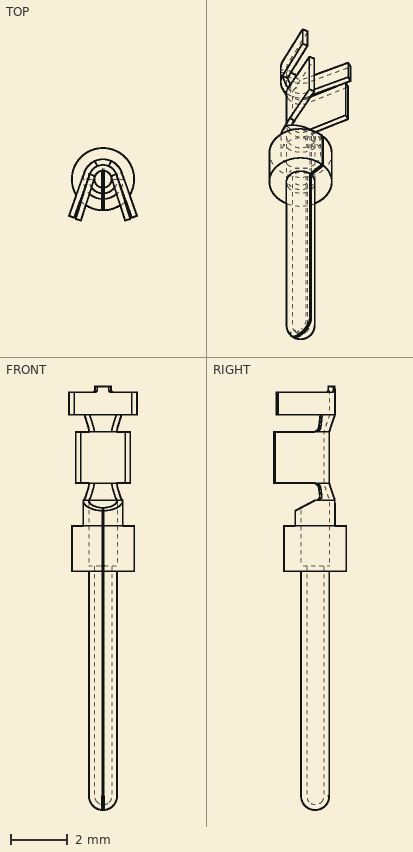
import cadquery as cq
import math


sheet = 0.2
seam_width = 0.07

pin_radius = 0.5
collar_radius = 1.1
sleeve_radius = 0.7
conductor_radius = 0.5
insulation_radius = 0.7

total_height = 14.9
tab_height = 0.2
insulation_height = 0.8
upper_neck_height = 0.6
conductor_height = 1.8
lower_neck_height = 0.6
sleeve_height = 0.9
collar_height = 1.6

insulation_top = total_height - tab_height
insulation_bottom = insulation_top - insulation_height
conductor_top = insulation_bottom - upper_neck_height
conductor_bottom = conductor_top - conductor_height
sleeve_top = conductor_bottom - lower_neck_height
collar_top = sleeve_top - sleeve_height
collar_bottom = collar_top - collar_height
sleeve_floor = collar_bottom + sheet

insulation_angle = 19.5
insulation_half_width = 1.2
conductor_angle = 17.5
conductor_reach = 1.46

neck_angle = 21
neck_fillet = 0.18
mouth_fillet = 0.15
sleeve_front_height = 0.53
mouth_front_height = collar_top + sleeve_front_height

tab_half_angle = 24
tab_fillet = 0.08

cut_size = 4 * collar_radius


def on_circle(radius, degrees):
    angle = math.radians(degrees)
    return radius * math.cos(angle), radius * math.sin(angle)


def round_tube():
    """Hollow turned shape of the pin, collar, sleeve and lower neck."""
    bore_radius = pin_radius - sheet
    sleeve_bore = sleeve_radius - sheet
    outer_x, outer_y = on_circle(pin_radius, -45)
    bore_x, bore_y = on_circle(bore_radius, -45)
    outer_mid = (outer_x, pin_radius + outer_y)
    bore_mid = (bore_x, pin_radius + bore_y)
    return (
        cq.Workplane("XZ")
        .moveTo(0, 0)
        .threePointArc(outer_mid, (pin_radius, pin_radius))
        .lineTo(pin_radius, collar_bottom)
        .lineTo(collar_radius, collar_bottom)
        .lineTo(collar_radius, collar_top)
        .lineTo(sleeve_radius, collar_top)
        .lineTo(sleeve_radius, sleeve_top)
        .lineTo(conductor_radius, conductor_bottom)
        .lineTo(conductor_radius - sheet, conductor_bottom)
        .lineTo(sleeve_bore, sleeve_top)
        .lineTo(sleeve_bore, sleeve_floor)
        .lineTo(bore_radius, sleeve_floor)
        .lineTo(bore_radius, pin_radius)
        .threePointArc(bore_mid, (0, sheet))
        .close()
        .revolve(360, (0, 0, 0), (0, 1, 0))
    )


def cone_neck():
    """Hollow turned cone between the conductor and insulation barrels."""
    return (
        cq.Workplane("XZ")
        .moveTo(conductor_radius, conductor_top)
        .lineTo(insulation_radius, insulation_bottom)
        .lineTo(insulation_radius - sheet, insulation_bottom)
        .lineTo(conductor_radius - sheet, conductor_top)
        .close()
        .revolve(360, (0, 0, 0), (0, 1, 0))
    )


def across_x(profile):
    """Extrude a YZ profile through the whole width of the part."""
    return profile.close().extrude(cut_size / 2, both=True)


def neck_opening(bottom, top):
    """Block with its upright inner face on the XZ plane, filling the -Y side of a neck."""
    return across_x(
        cq.Workplane("YZ")
        .moveTo(-cut_size, bottom)
        .lineTo(0, bottom)
        .lineTo(0, top)
        .lineTo(-cut_size, top)
    )


def rounded(opening, corner_z, radius):
    """Round the inner edge of an opening at the given height."""
    corner = cq.selectors.NearestToPointSelector((0, 0, corner_z))
    return opening.edges(corner).fillet(radius)


def cut_radially(body, opening):
    """Cut an opening turned both ways about Z, so that both neck edges end up radial."""
    for turn in (-neck_angle, neck_angle):
        body = body.cut(opening.rotate((0, 0, 0), (0, 0, 1), turn))
    return body


def open_lower_neck(tube):
    opening = neck_opening(sleeve_top, conductor_bottom)
    opening = rounded(opening, sleeve_top, mouth_fillet)
    return cut_radially(tube, rounded(opening, conductor_bottom, neck_fillet))


def open_upper_neck(neck):
    opening = neck_opening(conductor_top, insulation_bottom)
    return cut_radially(neck, rounded(opening, conductor_top, neck_fillet))


def cut_sleeve_mouth(tube):
    """Slope the front half of the sleeve end down toward -Y."""
    slope = (sleeve_top - mouth_front_height) / sleeve_radius
    mouth = across_x(
        cq.Workplane("YZ")
        .moveTo(-cut_size, sleeve_top - slope * cut_size)
        .lineTo(0, sleeve_top)
        .lineTo(0, conductor_bottom)
        .lineTo(-cut_size, conductor_bottom)
    )
    return tube.cut(mouth)


def wing_channel(radius, angle, wing_length, bottom, height):
    """U-shaped crimp barrel: round back on +Y with straight wings flaring toward -Y."""
    inner = radius - sheet
    run_x = wing_length * math.sin(math.radians(angle))
    run_y = wing_length * math.cos(math.radians(angle))
    outer_x, outer_y = on_circle(radius, angle)
    inner_x, inner_y = on_circle(inner, angle)
    return (
        cq.Workplane("XY", origin=(0, 0, bottom))
        .moveTo(outer_x + run_x, outer_y - run_y)
        .lineTo(outer_x, outer_y)
        .threePointArc((0, radius), (-outer_x, outer_y))
        .lineTo(-outer_x - run_x, outer_y - run_y)
        .lineTo(-inner_x - run_x, inner_y - run_y)
        .lineTo(-inner_x, inner_y)
        .threePointArc((0, inner), (inner_x, inner_y))
        .lineTo(inner_x + run_x, inner_y - run_y)
        .close()
        .extrude(height)
    )


def insulation_wings():
    tangent_x = on_circle(insulation_radius, insulation_angle)[0]
    length = (insulation_half_width - tangent_x) / math.sin(math.radians(insulation_angle))
    return wing_channel(insulation_radius, insulation_angle, length, insulation_bottom, insulation_height)


def conductor_wings():
    tangent_y = on_circle(conductor_radius - sheet, conductor_angle)[1]
    length = (conductor_reach + tangent_y) / math.cos(math.radians(conductor_angle))
    return wing_channel(conductor_radius, conductor_angle, length, conductor_bottom, conductor_height)


def carrier_tab():
    """Short stub of the carrier strip, a ring sector on the +Y side."""
    inner = insulation_radius - sheet
    outer_x, outer_y = on_circle(insulation_radius, 90 - tab_half_angle)
    inner_x, inner_y = on_circle(inner, 90 - tab_half_angle)
    return (
        cq.Workplane("XY", origin=(0, 0, insulation_top))
        .moveTo(outer_x, outer_y)
        .threePointArc((0, insulation_radius), (-outer_x, outer_y))
        .lineTo(-inner_x, inner_y)
        .threePointArc((0, inner), (inner_x, inner_y))
        .close()
        .extrude(tab_height)
    )


def fillet_tab_feet(body):
    """Round the two inside corners where the carrier tab rises from the insulation barrel."""
    mid_radius = insulation_radius - sheet / 2
    foot_x, foot_y = on_circle(mid_radius, 90 - tab_half_angle)
    for side in (-1, 1):
        foot = cq.selectors.NearestToPointSelector((side * foot_x, foot_y, insulation_top))
        body = body.edges(foot).fillet(tab_fillet)
    return body


def cut_seam(tube):
    """Seam slit along the -Y wall of the tube, and right across the domed tip."""
    wall_slit = (
        cq.Workplane("XY")
        .box(seam_width, cut_size, conductor_bottom, centered=(True, False, False))
        .translate((0, -cut_size, 0))
    )
    dome_slit = cq.Workplane("XY").box(seam_width, cut_size, pin_radius, centered=(True, True, False))
    return tube.cut(wall_slit).cut(dome_slit)


tube = round_tube()
tube = cut_seam(tube)
tube = cut_sleeve_mouth(tube)
tube = open_lower_neck(tube)
upper_neck = open_upper_neck(cone_neck())
body = tube.union(conductor_wings())
body = body.union(upper_neck)
body = body.union(insulation_wings())
body = body.union(carrier_tab())
result = fillet_tab_feet(body)